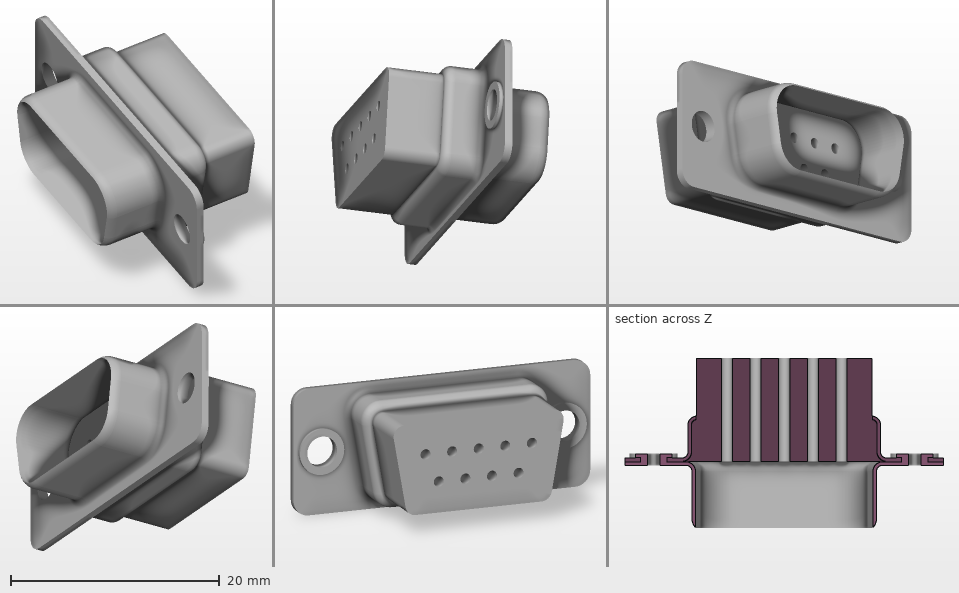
import cadquery as cq
import math


SHEET = 0.38
BEND_OUTER = 0.91
BEND_INNER = BEND_OUTER - SHEET

FLANGE_WIDTH = 30.56
FLANGE_HEIGHT = 12.55
FLANGE_CORNER = 1.55
MOUNT_SPACING = 24.99
MOUNT_HOLE_DIA = 3.05
EYELET_DIA = MOUNT_HOLE_DIA + 2 * SHEET
EYELET_HEAD_DIA = 4.56
EYELET_HEAD_BACK = 2 * SHEET

SIDE_ANGLE = 10.0
FRONT_D = (17.72, 9.08, 3.05)
REAR_D = (19.16, 10.74, 1.905)
BLOCK_D = (17.52, 9.01, 1.065)

MOUTH_DEPTH = 6.35
BLOCK_BACK = 9.90
REAR_SHELL_BACK = 4.40
LIP_LENGTH = 0.90
LIP_RADIUS = (LIP_LENGTH**2 + SHEET**2) / (2 * SHEET)

CONTACT_DIA = 1.02
CONTACT_PITCH = 2.74
ROW_SPACING = 2.84
CONTACT_ROWS = ((5, ROW_SPACING / 2), (4, -ROW_SPACING / 2))

SELECT_MARGIN = 0.01


def plane_at(y):
    """Workplane at height y with normal +Y; its local axes are -X and Z."""
    return cq.Workplane(cq.Plane(origin=(0, y, 0), xDir=(-1, 0, 0), normal=(0, 1, 0)))


def d_prism(profile, y_start, y_end, grow=0):
    """Prism of a rounded D profile between two Y values, its walls moved outward by `grow`."""
    width, height, corner = profile
    centre_z = height / 2 - corner
    top_x = width / 2 - corner
    bottom_x = top_x - 2 * centre_z * math.tan(math.radians(SIDE_ANGLE))
    corner_centres = [
        (-top_x, centre_z),
        (top_x, centre_z),
        (bottom_x, -centre_z),
        (-bottom_x, -centre_z),
    ]
    outline = plane_at(y_start).polyline(corner_centres).close().offset2D(corner + grow)
    return outline.extrude(y_end - y_start)


def mount_cylinders(diameter, y_start, y_end):
    """A pair of cylinders on the mounting hole axes."""
    centres = [(-MOUNT_SPACING / 2, 0), (MOUNT_SPACING / 2, 0)]
    return plane_at(y_start).pushPoints(centres).circle(diameter / 2).extrude(y_end - y_start)


def flange(y_face):
    """Flange plate from the joint plane to y_face."""
    plate = plane_at(0).rect(FLANGE_WIDTH, FLANGE_HEIGHT).extrude(y_face)
    return plate.edges("|Y").fillet(FLANGE_CORNER)


def fillet_bend(shell, y, radius):
    """Round the D-shaped edge loop at height y, leaving the flange perimeter sharp."""
    half_x = (MOUNT_SPACING - MOUNT_HOLE_DIA) / 2
    half_z = FLANGE_HEIGHT / 2 - SELECT_MARGIN
    loop = cq.selectors.BoxSelector(
        (-half_x, y - SELECT_MARGIN, -half_z),
        (half_x, y + SELECT_MARGIN, half_z),
    )
    return shell.edges(loop).fillet(radius)


def rear_hat():
    """Solid envelope of the rear shell's raised part."""
    hat = d_prism(REAR_D, 0, REAR_SHELL_BACK)
    return hat.faces(">Y").edges().fillet(BEND_OUTER)


def rear_cavity():
    """Space inside the rear shell, one sheet thickness within the hat."""
    cavity = d_prism(REAR_D, 0, REAR_SHELL_BACK - SHEET, grow=-SHEET)
    return cavity.faces(">Y").edges().fillet(BEND_INNER)


def make_rear_shell():
    shell = fillet_bend(flange(SHEET).union(rear_hat()), SHEET, BEND_INNER)
    shell = fillet_bend(shell.cut(rear_cavity()), 0, BEND_OUTER)
    shell = shell.cut(d_prism(BLOCK_D, 0, BLOCK_BACK))
    return shell.cut(mount_cylinders(EYELET_DIA, 0, SHEET))


def make_front_shell():
    lip_arc_end = -MOUTH_DEPTH + LIP_LENGTH - LIP_RADIUS
    wall = d_prism(FRONT_D, 0, lip_arc_end)
    wall = wall.faces("<Y").edges().fillet(LIP_RADIUS)
    shell = fillet_bend(flange(-SHEET).union(wall), -SHEET, BEND_INNER)
    shell = shell.cut(d_prism(FRONT_D, 0, lip_arc_end, grow=-SHEET))
    shell = fillet_bend(shell, 0, BEND_OUTER)
    shell = shell.union(mount_cylinders(EYELET_DIA, -SHEET, EYELET_HEAD_BACK))
    shell = shell.union(mount_cylinders(EYELET_HEAD_DIA, SHEET, EYELET_HEAD_BACK))
    return shell.cut(mount_cylinders(MOUNT_HOLE_DIA, -SHEET, EYELET_HEAD_BACK))


def make_insulator(rear_shell):
    flare = d_prism(REAR_D, 0, SHEET, grow=BEND_INNER)
    body = rear_hat().union(flare).cut(rear_shell)
    body = body.union(d_prism(BLOCK_D, 0, BLOCK_BACK))
    for count, z in CONTACT_ROWS:
        first_x = -(count - 1) / 2 * CONTACT_PITCH
        centres = [(first_x + i * CONTACT_PITCH, z) for i in range(count)]
        holes = plane_at(0).pushPoints(centres).circle(CONTACT_DIA / 2).extrude(BLOCK_BACK)
        body = body.cut(holes)
    return body


rear_shell = make_rear_shell()
front_shell = make_front_shell()
insulator = make_insulator(rear_shell)

result = cq.Compound.makeCompound([
    front_shell.solids().val(),
    rear_shell.solids().val(),
    insulator.solids().val(),
])